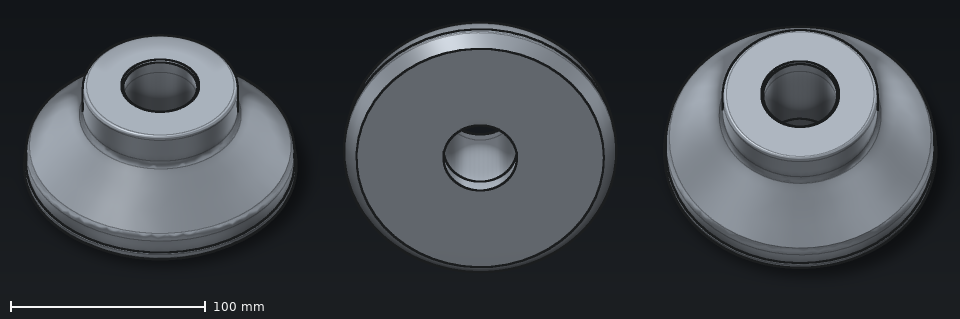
import cadquery as cq
import math

base_radius = 70.0
base_height = 9.7
underside_radius = 63.5
base_top_fillet = 0.5
base_lower_fillet = 1.1

total_height = 63.0
skirt_radius = 69.0
skirt_top = 19.9
neck_radius = 39.9
cone_slope = 40.0
shoulder_fillet = 4.9
neck_top_fillet = 2.0

bore_radius = 18.9
taper_radius = 19.0
taper_depth = 7.8
mouth_radius = 20.0
mouth_depth = 1.1

underside_flare = base_radius - underside_radius
neck_foot = skirt_top + (skirt_radius - neck_radius) * math.tan(math.radians(cone_slope))


def revolve_profile(points):
    """Turn a closed (radius, height) outline about the Z axis."""
    return cq.Workplane("XZ").polyline(points).close().revolve(360, (0, 0, 0), (0, 1, 0))


def ring_edge(radius, height):
    """Select the full circular edge passing through the given radius and height."""
    margin = 0.07
    return cq.selectors.BoxSelector(
        (-radius - margin, -radius - margin, height - margin),
        (radius + margin, radius + margin, height + margin),
        boundingbox=True,
    ) - cq.selectors.BoxSelector(
        (-radius + margin, -radius + margin, height - margin),
        (radius - margin, radius - margin, height + margin),
        boundingbox=True,
    )


def make_base():
    base = revolve_profile([
        (bore_radius, 0),
        (underside_radius, 0),
        (base_radius, underside_flare),
        (base_radius, base_height),
        (bore_radius, base_height),
    ])
    base = base.edges(ring_edge(base_radius, underside_flare)).fillet(base_lower_fillet)
    return base.edges(ring_edge(base_radius, base_height)).fillet(base_top_fillet)


def make_housing():
    housing = revolve_profile([
        (bore_radius, base_height),
        (skirt_radius, base_height),
        (skirt_radius, skirt_top),
        (neck_radius, neck_foot),
        (neck_radius, total_height),
        (mouth_radius, total_height),
        (taper_radius, total_height - mouth_depth),
        (bore_radius, total_height - taper_depth),
    ])
    housing = housing.edges(ring_edge(skirt_radius, skirt_top)).fillet(shoulder_fillet)
    housing = housing.edges(ring_edge(neck_radius, neck_foot)).fillet(shoulder_fillet)
    return housing.edges(ring_edge(neck_radius, total_height)).fillet(neck_top_fillet)


base = make_base()
housing = make_housing()
result = cq.Compound.makeCompound([base.val(), housing.val()])